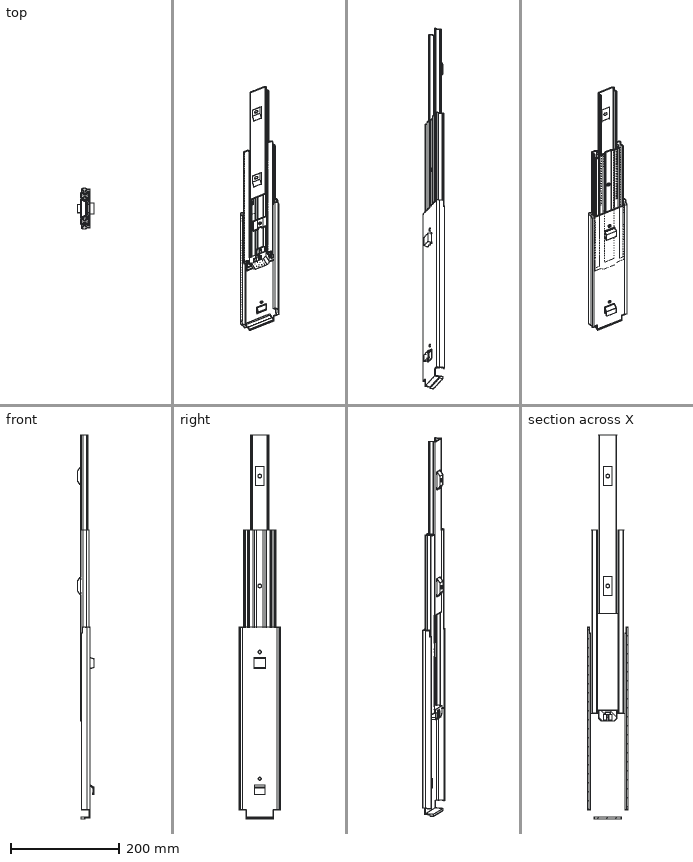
import cadquery as cq
import math

SHEET = 1.8
CLEARANCE = 0.35

OUTER_BOTTOM = 17.0
OUTER_TOP = 355.5
OUTER_FRONT = -16.5
OUTER_HALF_WIDTH = 38.05
OUTER_WEB_HALF = 35.9
OUTER_LIP_INNER = 31.65
OUTER_RACE_INNER = OUTER_HALF_WIDTH - 3.5
OUTER_RACE_BACK = -6.0
OUTER_RACE_MIDDLE = (OUTER_FRONT + OUTER_RACE_BACK) / 2

FOOT_HALF_WIDTH = 25.25
FOOT_HEIGHT = 4.0
FOOT_REACH = 17.0
FOOT_HEM = 7.0

MIDDLE_BOTTOM = 195.5
MIDDLE_TOP = 535.5
MIDDLE_BACK = -SHEET - CLEARANCE
MIDDLE_WEB_FRONT = MIDDLE_BACK - SHEET
MIDDLE_FRONT = -18.0
MIDDLE_OUTER_HALF = 30.0
MIDDLE_INNER_HALF = 18.85
MIDDLE_BEND = 3.0
MIDDLE_TONGUE_DROP = 8.5
RIB_FOOT_HALF = 10.0
RIB_STEP_HALF = 12.0
RIB_STEP = 1.0
RIB_CREST_HALF = 6.0
RIB_HEIGHT = 3.0

INNER_BOTTOM = 380.5
INNER_TOP = 711.0
INNER_FRONT = -18.0
INNER_BACK = -4.0
INNER_HALF_WIDTH = 16.7
INNER_BEND = 3.0

GROOVE_FRONT = -13.5
GROOVE_BACK = -6.5
GROOVE_MIDDLE = (GROOVE_FRONT + GROOVE_BACK) / 2
GROOVE_DEPTH = 1.8

STOP_WIDTH = 4.0
OUTER_STOP_LENGTH = 11.5
OUTER_STOP_TIP = 30.5
OUTER_LIP_CUT = 2.0
MIDDLE_STOP_LENGTH = 15.0
MIDDLE_STOP_TIP = 17.4

INNER_STRAP_SLOPE = 8.0
INNER_STRAP_LENGTH = 35.0
INNER_STRAP_HALF = 8.0
INNER_STRAP_HEIGHT = 6.0
INNER_STRAP_CENTRES = [432.0, 635.0]
STRAP_HOLE = 6.5
OUTER_STRAP_CENTRE = 289.0
OUTER_STRAP_LENGTH = 20.5
OUTER_STRAP_HALF = 10.3
OUTER_STRAP_HEIGHT = 7.0
OUTER_STRAP_SLOPE = 2.0

HOOK_TOP = 63.0
HOOK_BOTTOM = 45.5
HOOK_SLOPE = 4.0
HOOK_LIP = 5.0
HOOK_LIP_DEPTH = 1.5
HOOK_HALF = 10.0
LOW_HOLE_HEIGHT = 75.0
LOW_HOLE = 5.0

LATCH_BOTTOM = 294.0
LATCH_HEIGHT = 30.0
LATCH_HALF_WIDTH = 14.0
LATCH_HOLE_HEIGHT = 309.5
LATCH_HOLE = 6.0
LATCH_NOTCH_HALF = 3.5
LATCH_NOTCH_HEIGHT = 3.5
WINDOW_BOTTOM = 219.0
WINDOW_TOP = 236.0
WINDOW_HALF = 8.5
TONGUE_HALF = 2.0
TONGUE_LENGTH = 11.0
MIDDLE_LOW_HOLE_HEIGHT = 213.0
MIDDLE_LOW_HOLE = 8.5
BLOCK_BOTTOM = 181.5
BLOCK_TOP = 202.0
BLOCK_HALF_WIDTH = 17.0
BLOCK_CHAMFER = 5.0
RECESS_STEM_HALF = 4.0
RECESS_TOP = 198.0
RECESS_SHOULDER = 193.5
RECESS_BOTTOM = 183.5
RECESS_HALF = 8.0
RECESS_PRONG_HALF = 2.0


def box(x_range, y_range, z_range):
    """Box between the given limits along X, Y and Z."""
    size = [end - start for start, end in (x_range, y_range, z_range)]
    corner = (x_range[0], y_range[0], z_range[0])
    return cq.Workplane("XY").box(*size, centered=False).translate(corner)


def both_sides(half):
    """Join a shape with its mirror image across the plane of symmetry."""
    return half.union(half.mirror("XZ"))


def bore(height, diameter):
    """Cylinder along X, long enough to pass through all three rails."""
    reach = 35.5
    cylinder = cq.Workplane("YZ").center(0, height).circle(diameter / 2)
    return cylinder.extrude(reach, both=True)


def side_plate(points, half_width):
    """Extrude an X-Z outline symmetrically to both sides in Y."""
    return cq.Workplane("XZ").polyline(points).close().extrude(half_width, both=True)


def add_strap(rail, face, outward, centre, length, height, slope, half_width):
    """Lance a strap out of a rail's web and raise it on sloped ends.

    `face` is the X of the web face and `outward` is +1 or -1 along X. Between its
    ends the strap fills the space from the web face to its crest.
    """
    low = centre - length / 2
    high = centre + length / 2
    inside = face - outward * SHEET
    crest = face + outward * height
    outline = [
        (inside, low),
        (face, low),
        (crest, low + slope),
        (crest, high - slope),
        (face, high),
        (inside, high),
        (face, high - slope),
        (face, low + slope),
    ]
    window = box(sorted((inside, face)), (-half_width, half_width), (low, high))
    return rail.cut(window).union(side_plate(outline, half_width))


def outer_section():
    half = (
        cq.Workplane("XY")
        .workplane(offset=OUTER_BOTTOM)
        .lineTo(0, OUTER_WEB_HALF)
        .lineTo(OUTER_RACE_BACK, OUTER_WEB_HALF)
        .threePointArc((OUTER_RACE_MIDDLE, OUTER_HALF_WIDTH), (OUTER_FRONT, OUTER_WEB_HALF))
        .lineTo(OUTER_FRONT, OUTER_LIP_INNER)
        .threePointArc((OUTER_RACE_MIDDLE, OUTER_RACE_INNER), (OUTER_RACE_BACK, OUTER_LIP_INNER))
        .lineTo(-SHEET, OUTER_LIP_INNER)
        .lineTo(-SHEET, 0)
        .close()
        .extrude(OUTER_TOP - OUTER_BOTTOM)
    )
    return both_sides(half)


def outer_ball_stops():
    half = box(
        (OUTER_RACE_MIDDLE - STOP_WIDTH / 2, OUTER_RACE_MIDDLE + STOP_WIDTH / 2),
        (OUTER_STOP_TIP, OUTER_WEB_HALF),
        (OUTER_TOP - OUTER_STOP_LENGTH, OUTER_TOP),
    )
    return both_sides(half)


def foot_flange():
    outline = [
        (0, OUTER_BOTTOM),
        (0, FOOT_HEIGHT - SHEET),
        (FOOT_HEM - FOOT_REACH, FOOT_HEIGHT - SHEET),
        (FOOT_HEM - FOOT_REACH, 0),
        (-FOOT_REACH, 0),
        (-FOOT_REACH, FOOT_HEIGHT),
        (-SHEET, FOOT_HEIGHT),
        (-SHEET, OUTER_BOTTOM),
    ]
    return side_plate(outline, FOOT_HALF_WIDTH)


def add_hook(rail):
    """Lance a hook out of the back of the outer rail, open at its lower end."""
    crest = OUTER_STRAP_HEIGHT
    underside = crest - SHEET
    bend = HOOK_TOP - HOOK_SLOPE
    outline = [
        (-SHEET, HOOK_TOP),
        (0, HOOK_TOP),
        (crest, bend),
        (crest, HOOK_BOTTOM),
        (underside - HOOK_LIP_DEPTH, HOOK_BOTTOM),
        (underside, HOOK_BOTTOM + HOOK_LIP),
        (underside, bend - SHEET),
    ]
    window = box((-SHEET, 0), (-HOOK_HALF, HOOK_HALF), (HOOK_BOTTOM, HOOK_TOP))
    return rail.cut(window).union(side_plate(outline, HOOK_HALF))


def make_outer_rail():
    lip_cut = box(
        (OUTER_FRONT, OUTER_FRONT + OUTER_LIP_CUT),
        (-OUTER_HALF_WIDTH, OUTER_HALF_WIDTH),
        (OUTER_TOP - OUTER_STOP_LENGTH, OUTER_TOP),
    )
    rail = outer_section().cut(lip_cut).union(outer_ball_stops()).union(foot_flange())
    rail = add_strap(
        rail, 0, 1, OUTER_STRAP_CENTRE, OUTER_STRAP_LENGTH,
        OUTER_STRAP_HEIGHT, OUTER_STRAP_SLOPE, OUTER_STRAP_HALF,
    )
    rail = add_hook(rail)
    rail = rail.cut(bore(LOW_HOLE_HEIGHT, LOW_HOLE))
    return rail.cut(bore(LATCH_HOLE_HEIGHT, LATCH_HOLE))


def middle_section():
    """Web with a raised rib, folded into a double wall on each side."""
    crest = MIDDLE_WEB_FRONT - RIB_HEIGHT
    turn = MIDDLE_BEND * (1 - math.sqrt(0.5))
    inner_turn = (MIDDLE_BEND - SHEET) * (1 - math.sqrt(0.5))
    outer_groove = MIDDLE_OUTER_HALF - GROOVE_DEPTH
    inner_groove = MIDDLE_INNER_HALF + GROOVE_DEPTH
    fold = MIDDLE_FRONT + SHEET
    outer_skin = MIDDLE_OUTER_HALF - SHEET
    inner_skin = MIDDLE_INNER_HALF + SHEET
    half = (
        cq.Workplane("XY")
        .workplane(offset=MIDDLE_BOTTOM)
        .moveTo(crest + SHEET, 0)
        .lineTo(crest + SHEET, RIB_CREST_HALF)
        .lineTo(MIDDLE_BACK, RIB_FOOT_HALF)
        .lineTo(MIDDLE_BACK, inner_skin)
        .lineTo(GROOVE_BACK, inner_skin)
        .threePointArc((GROOVE_MIDDLE, inner_groove + SHEET), (GROOVE_FRONT, inner_skin))
        .lineTo(MIDDLE_FRONT + MIDDLE_BEND, inner_skin)
        .threePointArc(
            (fold + inner_turn, inner_skin + inner_turn),
            (fold, MIDDLE_INNER_HALF + MIDDLE_BEND),
        )
        .lineTo(fold, MIDDLE_OUTER_HALF - MIDDLE_BEND)
        .threePointArc(
            (fold + inner_turn, outer_skin - inner_turn),
            (MIDDLE_FRONT + MIDDLE_BEND, outer_skin),
        )
        .lineTo(GROOVE_FRONT, outer_skin)
        .threePointArc((GROOVE_MIDDLE, outer_groove - SHEET), (GROOVE_BACK, outer_skin))
        .lineTo(MIDDLE_BACK, outer_skin)
        .lineTo(MIDDLE_BACK, MIDDLE_OUTER_HALF)
        .lineTo(GROOVE_BACK, MIDDLE_OUTER_HALF)
        .threePointArc((GROOVE_MIDDLE, outer_groove), (GROOVE_FRONT, MIDDLE_OUTER_HALF))
        .lineTo(MIDDLE_FRONT + MIDDLE_BEND, MIDDLE_OUTER_HALF)
        .threePointArc(
            (MIDDLE_FRONT + turn, MIDDLE_OUTER_HALF - turn),
            (MIDDLE_FRONT, MIDDLE_OUTER_HALF - MIDDLE_BEND),
        )
        .lineTo(MIDDLE_FRONT, MIDDLE_INNER_HALF + MIDDLE_BEND)
        .threePointArc(
            (MIDDLE_FRONT + turn, MIDDLE_INNER_HALF + turn),
            (MIDDLE_FRONT + MIDDLE_BEND, MIDDLE_INNER_HALF),
        )
        .lineTo(GROOVE_FRONT, MIDDLE_INNER_HALF)
        .threePointArc((GROOVE_MIDDLE, inner_groove), (GROOVE_BACK, MIDDLE_INNER_HALF))
        .lineTo(MIDDLE_WEB_FRONT, MIDDLE_INNER_HALF)
        .lineTo(MIDDLE_WEB_FRONT, RIB_STEP_HALF)
        .lineTo(MIDDLE_WEB_FRONT - RIB_STEP, RIB_STEP_HALF)
        .lineTo(MIDDLE_WEB_FRONT - RIB_STEP, RIB_FOOT_HALF)
        .lineTo(crest, RIB_CREST_HALF)
        .lineTo(crest, 0)
        .close()
        .extrude(MIDDLE_TOP - MIDDLE_BOTTOM)
    )
    return both_sides(half)


def middle_ball_stops():
    half = box(
        (GROOVE_MIDDLE - STOP_WIDTH / 2, GROOVE_MIDDLE + STOP_WIDTH / 2),
        (MIDDLE_STOP_TIP, MIDDLE_INNER_HALF + SHEET),
        (MIDDLE_TOP - MIDDLE_STOP_LENGTH, MIDDLE_TOP),
    )
    return both_sides(half)


def block_recess():
    """T-shaped recess down to the web, with a prong left standing in its middle."""
    depth = (MIDDLE_FRONT, MIDDLE_WEB_FRONT)
    stem = box(depth, (-RECESS_STEM_HALF, RECESS_STEM_HALF), (RECESS_SHOULDER, RECESS_TOP))
    head = box(depth, (-RECESS_HALF, RECESS_HALF), (RECESS_BOTTOM, RECESS_SHOULDER))
    prong = box(depth, (-RECESS_PRONG_HALF, RECESS_PRONG_HALF), (RECESS_BOTTOM, RECESS_SHOULDER))
    return stem.union(head).cut(prong)


def middle_stop_block():
    """Chamfered block closing the lower end, on a tongue that continues the web."""
    tongue = box(
        (MIDDLE_WEB_FRONT, MIDDLE_BACK),
        (-MIDDLE_OUTER_HALF, MIDDLE_OUTER_HALF),
        (MIDDLE_BOTTOM - MIDDLE_TONGUE_DROP, MIDDLE_BOTTOM),
    )
    block = box(
        (MIDDLE_FRONT, MIDDLE_BACK),
        (-BLOCK_HALF_WIDTH, BLOCK_HALF_WIDTH),
        (BLOCK_BOTTOM, BLOCK_TOP),
    )
    block = block.edges("|X and <Z").chamfer(BLOCK_CHAMFER)
    return tongue.union(block.cut(block_recess()))


def middle_window():
    """Window through the web with a narrow tongue standing up from its lower edge."""
    depth = (MIDDLE_WEB_FRONT - RIB_HEIGHT, MIDDLE_BACK)
    opening = box(depth, (-WINDOW_HALF, WINDOW_HALF), (WINDOW_BOTTOM, WINDOW_TOP))
    tongue = box(depth, (-TONGUE_HALF, TONGUE_HALF), (WINDOW_BOTTOM, WINDOW_BOTTOM + TONGUE_LENGTH))
    return opening.cut(tongue)


def make_middle_rail():
    rail = middle_section().union(middle_ball_stops()).union(middle_stop_block())
    rail = rail.cut(middle_window())
    rail = rail.cut(bore(MIDDLE_LOW_HOLE_HEIGHT, MIDDLE_LOW_HOLE))
    rail = rail.cut(bore(LATCH_HOLE_HEIGHT, LATCH_HOLE))
    return rail.cut(bore(min(INNER_STRAP_CENTRES), STRAP_HOLE))


def inner_section():
    turn = INNER_BEND * (1 - math.sqrt(0.5))
    groove = INNER_HALF_WIDTH - GROOVE_DEPTH
    skin = INNER_HALF_WIDTH - SHEET
    half = (
        cq.Workplane("XY")
        .workplane(offset=INNER_BOTTOM)
        .moveTo(INNER_FRONT, 0)
        .lineTo(INNER_FRONT, INNER_HALF_WIDTH - INNER_BEND)
        .threePointArc(
            (INNER_FRONT + turn, INNER_HALF_WIDTH - turn),
            (INNER_FRONT + INNER_BEND, INNER_HALF_WIDTH),
        )
        .lineTo(GROOVE_FRONT, INNER_HALF_WIDTH)
        .threePointArc((GROOVE_MIDDLE, groove), (GROOVE_BACK, INNER_HALF_WIDTH))
        .lineTo(INNER_BACK, INNER_HALF_WIDTH)
        .lineTo(INNER_BACK, skin)
        .lineTo(GROOVE_BACK, skin)
        .threePointArc((GROOVE_MIDDLE, groove - SHEET), (GROOVE_FRONT, skin))
        .lineTo(INNER_FRONT + SHEET, skin)
        .lineTo(INNER_FRONT + SHEET, 0)
        .close()
        .extrude(INNER_TOP - INNER_BOTTOM)
    )
    return both_sides(half)


def make_inner_rail():
    rail = inner_section()
    for centre in INNER_STRAP_CENTRES:
        rail = add_strap(
            rail, INNER_FRONT, -1, centre, INNER_STRAP_LENGTH,
            INNER_STRAP_HEIGHT, INNER_STRAP_SLOPE, INNER_STRAP_HALF,
        )
        rail = rail.cut(bore(centre, STRAP_HOLE))
    return rail


def make_latch():
    """Flat plate resting on the crest of the middle rail's rib."""
    back = MIDDLE_WEB_FRONT - RIB_HEIGHT
    plate = box(
        (back - SHEET, back),
        (-LATCH_HALF_WIDTH, LATCH_HALF_WIDTH),
        (LATCH_BOTTOM, LATCH_BOTTOM + LATCH_HEIGHT),
    )
    notch = box(
        (back - SHEET, back),
        (-LATCH_NOTCH_HALF, LATCH_NOTCH_HALF),
        (LATCH_BOTTOM, LATCH_BOTTOM + LATCH_NOTCH_HEIGHT),
    )
    return plate.cut(notch).cut(bore(LATCH_HOLE_HEIGHT, LATCH_HOLE))


outer_rail = make_outer_rail()
middle_rail = make_middle_rail()
inner_rail = make_inner_rail()
latch = make_latch()

result = cq.Compound.makeCompound(
    [outer_rail.val(), middle_rail.val(), inner_rail.val(), latch.val()]
)